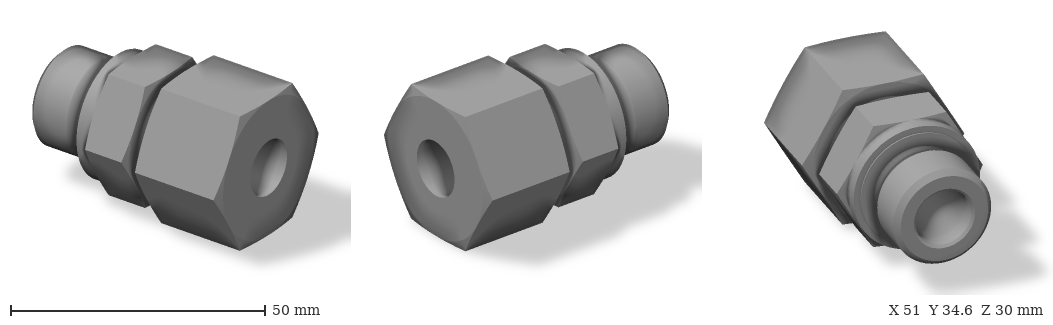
import cadquery as cq
import math


total_length = 51.0
nut_flats = 30.0
body_flats = 27.0

stud_thread_end = 9.25
collar_face_x = 13.95
body_hex_start = 17.05
body_hex_end = 27.05
spigot_cone_start = 29.7
nut_start = 30.5

bore_radius = 6.0
stud_radius = 10.45
stud_neck_radius = 9.25
collar_radius = body_flats / 2
spigot_neck_radius = 10.55
spigot_radius = 12.0

stud_chamfer = 1.15
bore_chamfer = 0.5
stud_neck_blend = 0.95
spigot_neck_blend = 0.45
undercut_angle = 30.0
hex_chamfer_angle = 15.0

seal_radius = 12.05
seal_thickness = 1.55
seal_protrusion = 0.25
seal_start = collar_face_x - seal_protrusion

undercut_slope = math.tan(math.radians(undercut_angle))
stud_cone_run = (stud_radius - stud_neck_radius) / undercut_slope
spigot_cone_run = (spigot_radius - spigot_neck_radius) / undercut_slope
stud_cone_end = stud_thread_end + stud_cone_run
spigot_cone_end = spigot_cone_start + spigot_cone_run


def cylinder(start, end, radius):
    """Solid cylinder on the X axis."""
    return cq.Workplane("YZ").workplane(offset=start).circle(radius).extrude(end - start)


def revolve_profile(points):
    """Solid turned about the X axis from (x, radius) points."""
    return cq.Workplane("XY").polyline(points).close().revolve(360, (0, 0, 0), (1, 0, 0))


def hexagon(start, end, flats):
    """Hexagonal bar with corners on +-Y and both ends turned to a shallow cone."""
    corner_radius = flats / 2 / math.cos(math.pi / 6)
    cone_depth = (corner_radius - flats / 2) * math.tan(math.radians(hex_chamfer_angle))
    bar = (
        cq.Workplane("YZ")
        .workplane(offset=start)
        .polygon(6, 2 * corner_radius)
        .extrude(end - start)
    )
    envelope = revolve_profile([
        (start, 0),
        (start, flats / 2),
        (start + cone_depth, corner_radius),
        (end - cone_depth, corner_radius),
        (end, flats / 2),
        (end, 0),
    ])
    return bar.intersect(envelope)


def make_stud():
    """Threaded stud end with its lead chamfer, undercut and blended neck."""
    blank = revolve_profile([
        (0, 0),
        (0, stud_radius - stud_chamfer),
        (stud_chamfer, stud_radius),
        (stud_thread_end, stud_radius),
        (stud_cone_end, stud_neck_radius),
        (collar_face_x, stud_neck_radius),
        (collar_face_x, 0),
    ])
    neck_edge = cq.selectors.NearestToPointSelector((stud_cone_end, 0, 0))
    return blank.edges(neck_edge).fillet(stud_neck_blend)


def make_spigot():
    """Spigot with a blended neck, flaring to the diameter that carries the nut."""
    blend_angle = math.pi / 4
    blend_mid_x = body_hex_end + spigot_neck_blend * (1 - math.sin(blend_angle))
    blend_mid_radius = spigot_neck_radius + spigot_neck_blend * (1 - math.cos(blend_angle))
    profile = (
        cq.Workplane("XY")
        .moveTo(body_hex_end, 0)
        .lineTo(body_hex_end, spigot_neck_radius + spigot_neck_blend)
        .threePointArc(
            (blend_mid_x, blend_mid_radius),
            (body_hex_end + spigot_neck_blend, spigot_neck_radius),
        )
        .lineTo(spigot_cone_start, spigot_neck_radius)
        .lineTo(spigot_cone_end, spigot_radius)
        .lineTo(total_length, spigot_radius)
        .lineTo(total_length, 0)
        .close()
    )
    return profile.revolve(360, (0, 0, 0), (1, 0, 0))


def make_bore():
    """Through bore with a chamfered mouth at the stud end."""
    return revolve_profile([
        (0, 0),
        (0, bore_radius + bore_chamfer),
        (bore_chamfer, bore_radius),
        (total_length, bore_radius),
        (total_length, 0),
    ])


def make_seal():
    """Flat seal ring around the stud neck."""
    seal_end = seal_start + seal_thickness
    disc = cylinder(seal_start, seal_end, seal_radius)
    return disc.cut(cylinder(seal_start, seal_end, stud_neck_radius))


def make_body():
    """Stud, collar, hexagon and spigot in one piece."""
    collar = cylinder(collar_face_x, body_hex_start, collar_radius)
    solid = make_stud().union(collar)
    solid = solid.union(hexagon(body_hex_start, body_hex_end, body_flats))
    solid = solid.union(make_spigot())
    return solid.cut(make_bore()).cut(make_seal())


def make_nut():
    """Union nut bored through to fit the spigot."""
    return hexagon(nut_start, total_length, nut_flats).cut(
        cylinder(nut_start, total_length, spigot_radius)
    )


body = make_body()
seal = make_seal()
nut = make_nut()

result = cq.Compound.makeCompound([body.solids().val(), seal.solids().val(), nut.solids().val()])